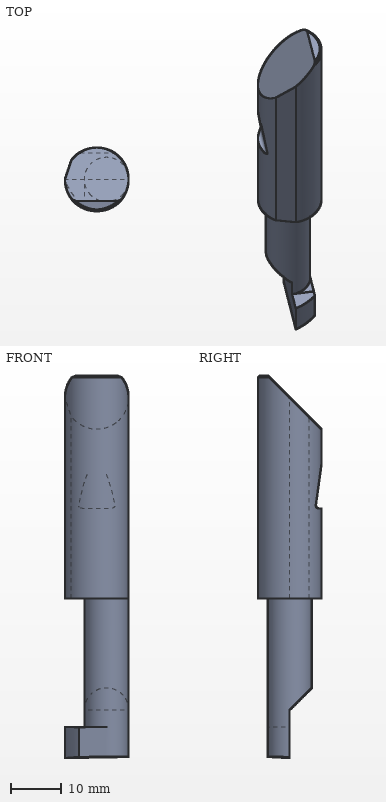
import cadquery as cq
import math

LENGTH = 76.2
SHANK_DIAMETER = 12.7
SHANK_BOTTOM = 31.8
NECK_RADIUS = 4.4
HEAD_HEIGHT = 6.25
HEAD_CORNER_X = -3.6
FLANK_BULGE = 0.3
FLAT_EDGE_Y = 3.8
BEVEL_DROP = 10.7
NOTCH_TOP_DEPTH = 17.5
NOTCH_BOTTOM_DEPTH = 26.45
NOTCH_DEPTH = 1.15
NOTCH_CORNER_RADIUS = 0.6
NECK_BEVEL_TOP = 14.0
RELIEF_ANGLE_X = 1.0
RELIEF_ANGLE_Y = 2.5
TOP_RELIEF_ANGLE = 1.5
TOP_CHAMFER = 0.4

SHANK_RADIUS = SHANK_DIAMETER / 2
NECK_X = SHANK_RADIUS - NECK_RADIUS
CUT_SIZE = 2 * SHANK_DIAMETER


def extrude_across(profile):
    """Extrude a closed YZ profile symmetrically along X, past the part."""
    return profile.close().extrude(CUT_SIZE / 2, both=True)


def make_shank():
    shank = (
        cq.Workplane("XY", origin=(0, 0, SHANK_BOTTOM))
        .circle(SHANK_RADIUS)
        .extrude(LENGTH - SHANK_BOTTOM)
        .faces(">Z")
        .chamfer(TOP_CHAMFER)
    )
    flat_edge_x = -math.sqrt(SHANK_RADIUS**2 - FLAT_EDGE_Y**2)
    flat = (
        cq.Workplane("XY")
        .moveTo(-SHANK_RADIUS, 0)
        .lineTo(flat_edge_x, FLAT_EDGE_Y)
        .lineTo(-SHANK_RADIUS, FLAT_EDGE_Y)
        .close()
        .extrude(LENGTH)
    )
    bevel = extrude_across(
        cq.Workplane("YZ")
        .moveTo(SHANK_RADIUS, LENGTH - BEVEL_DROP)
        .lineTo(SHANK_RADIUS - BEVEL_DROP, LENGTH)
        .lineTo(SHANK_RADIUS, LENGTH)
    )
    return shank.cut(flat).cut(bevel).cut(make_notch())


def make_notch():
    """Sloped clamping notch across the +Y side, rounded at its lower corner."""
    floor_y = SHANK_RADIUS - NOTCH_DEPTH
    bottom = LENGTH - NOTCH_BOTTOM_DEPTH
    corner_top = bottom + NOTCH_CORNER_RADIUS
    arc_offset = NOTCH_CORNER_RADIUS * (1 - math.sqrt(0.5))
    return extrude_across(
        cq.Workplane("YZ")
        .moveTo(SHANK_RADIUS, LENGTH - NOTCH_TOP_DEPTH)
        .lineTo(floor_y, corner_top)
        .threePointArc(
            (floor_y + arc_offset, bottom + arc_offset),
            (floor_y + NOTCH_CORNER_RADIUS, bottom),
        )
        .lineTo(SHANK_RADIUS, bottom)
    )


def make_neck():
    neck = cq.Workplane("XY").center(NECK_X, 0).circle(NECK_RADIUS).extrude(SHANK_BOTTOM)
    run_out = extrude_across(
        cq.Workplane("YZ")
        .moveTo(0, 0)
        .lineTo(0, NECK_BEVEL_TOP - NECK_RADIUS)
        .lineTo(NECK_RADIUS, NECK_BEVEL_TOP)
        .lineTo(NECK_RADIUS, 0)
    )
    return neck.cut(run_out)


def make_head():
    """Cutting head with its flat face on Y = 0 and a convex relieved flank."""
    head = (
        cq.Workplane("XY")
        .moveTo(-SHANK_RADIUS, 0)
        .sagittaArc((HEAD_CORNER_X, -NECK_RADIUS), -FLANK_BULGE)
        .lineTo(NECK_X, -NECK_RADIUS)
        .lineTo(NECK_X, 0)
        .close()
        .extrude(HEAD_HEIGHT)
    )
    neck_edge_x = NECK_X - NECK_RADIUS
    wedge_drop = NECK_RADIUS * math.tan(math.radians(TOP_RELIEF_ANGLE))
    top_relief = (
        cq.Workplane("YZ", origin=(neck_edge_x, 0, 0))
        .moveTo(0, HEAD_HEIGHT)
        .lineTo(-NECK_RADIUS, HEAD_HEIGHT)
        .lineTo(-NECK_RADIUS, HEAD_HEIGHT - wedge_drop)
        .close()
        .extrude(-SHANK_DIAMETER)
    )
    return head.cut(top_relief)


def make_end_relief():
    """Block below the end face, tilted about the tip so that the tip is lowest."""
    return (
        cq.Workplane("XY")
        .box(CUT_SIZE * 2, CUT_SIZE * 2, CUT_SIZE, centered=(True, True, False))
        .translate((0, 0, -CUT_SIZE))
        .rotate((0, 0, 0), (1, 0, 0), -RELIEF_ANGLE_Y)
        .rotate((0, 0, 0), (0, 1, 0), -RELIEF_ANGLE_X)
        .translate((-SHANK_RADIUS, 0, 0))
    )


tool_end = make_neck().union(make_head()).cut(make_end_relief())
result = make_shank().union(tool_end)